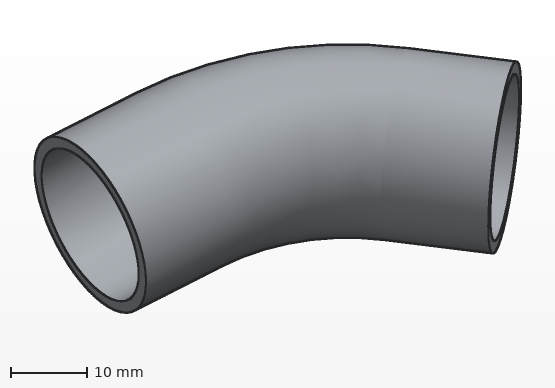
import cadquery as cq
import math


overall_length = 60.5
outer_diameter = 25.4
bore_diameter = 22.1
bend_radius = 38.1
bend_angle = 45.0

bend_sin = math.sin(math.radians(bend_angle))
bend_length_y = bend_radius * bend_sin
outlet_rim_y = outer_diameter / 2 * bend_sin
straight_length = (overall_length - bend_length_y - outlet_rim_y) / (1 + bend_sin)


def centreline_point(angle, distance=0.0):
    """Centreline point at an angle into the bend, then moved along the tangent there."""
    turn = math.radians(angle)
    x = bend_radius * (1 - math.cos(turn)) + distance * math.sin(turn)
    y = straight_length + bend_radius * math.sin(turn) + distance * math.cos(turn)
    return (x, y)


centreline = (
    cq.Workplane("XY")
    .lineTo(*centreline_point(0))
    .threePointArc(centreline_point(bend_angle / 2), centreline_point(bend_angle))
    .lineTo(*centreline_point(bend_angle, straight_length))
)

result = (
    cq.Workplane("XZ")
    .circle(outer_diameter / 2)
    .circle(bore_diameter / 2)
    .sweep(centreline)
)